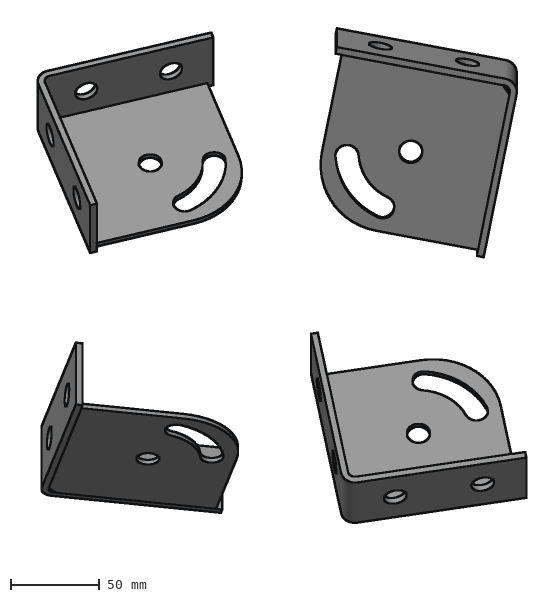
import cadquery as cq
import math

size = 104.5
height = 40.0
thickness = 4.0
plate_thickness = 3.0
inner_bend_radius = 4.0
hole_diameter = 13.0
first_hole = 29.6
hole_spacing = 50.0
plate_end = 101.0
plate_corner_radius = 38.7
corner_relief = 4.6
pivot = 52.0
slot_radius = 36.0
slot_start_angle = 15.0
slot_end_angle = 75.0

outer_bend_radius = inner_bend_radius + thickness
hole_radius = hole_diameter / 2
plate_side = plate_end - thickness


def point_about_pivot(radius, angle):
    """Point at a polar position about the pivot hole."""
    a = math.radians(angle)
    return (pivot + radius * math.cos(a), pivot + radius * math.sin(a))


def make_angle():
    """Bent sheet with two walls, each with two round holes."""
    outer = (
        cq.Workplane("XY")
        .box(size, size, height, centered=False)
        .edges("|Z and <X and <Y")
        .fillet(outer_bend_radius)
    )
    inside = (
        cq.Workplane("XY")
        .box(size, size, height, centered=False)
        .edges("|Z and <X and <Y")
        .fillet(inner_bend_radius)
        .translate((thickness, thickness, 0))
    )
    body = outer.cut(inside)
    for along in (first_hole, first_hole + hole_spacing):
        front_hole = cq.Solid.makeCylinder(
            hole_radius, thickness, cq.Vector(along, 0, height / 2), cq.Vector(0, 1, 0)
        )
        side_hole = cq.Solid.makeCylinder(
            hole_radius, thickness, cq.Vector(0, along, height / 2), cq.Vector(1, 0, 0)
        )
        body = body.cut(front_hole).cut(side_hole)
    return body


def make_slot_cutter():
    """Curved slot with round ends, concentric with the pivot hole."""
    inner = slot_radius - hole_radius
    outer = slot_radius + hole_radius
    middle_angle = (slot_start_angle + slot_end_angle) / 2
    tip_radius = math.hypot(slot_radius, hole_radius)
    tip_angle = math.degrees(math.atan2(hole_radius, slot_radius))
    return (
        cq.Workplane("XY")
        .moveTo(*point_about_pivot(outer, slot_start_angle))
        .threePointArc(
            point_about_pivot(outer, middle_angle),
            point_about_pivot(outer, slot_end_angle),
        )
        .threePointArc(
            point_about_pivot(tip_radius, slot_end_angle + tip_angle),
            point_about_pivot(inner, slot_end_angle),
        )
        .threePointArc(
            point_about_pivot(inner, middle_angle),
            point_about_pivot(inner, slot_start_angle),
        )
        .threePointArc(
            point_about_pivot(tip_radius, slot_start_angle - tip_angle),
            point_about_pivot(outer, slot_start_angle),
        )
        .close()
        .extrude(plate_thickness)
    )


def make_plate():
    """Flat plate inside the angle, with pivot hole and curved slot."""
    blank = (
        cq.Workplane("XY")
        .box(plate_side, plate_side, plate_thickness, centered=False)
        .translate((thickness, thickness, 0))
        .edges("|Z and >X and >Y")
        .fillet(plate_corner_radius)
        .edges("|Z and <X and <Y")
        .chamfer(corner_relief)
    )
    pivot_hole = cq.Solid.makeCylinder(
        hole_radius, plate_thickness, cq.Vector(pivot, pivot, 0)
    )
    return blank.cut(pivot_hole).cut(make_slot_cutter())


angle = make_angle()
plate = make_plate()

result = cq.Compound.makeCompound([angle.val(), plate.val()])